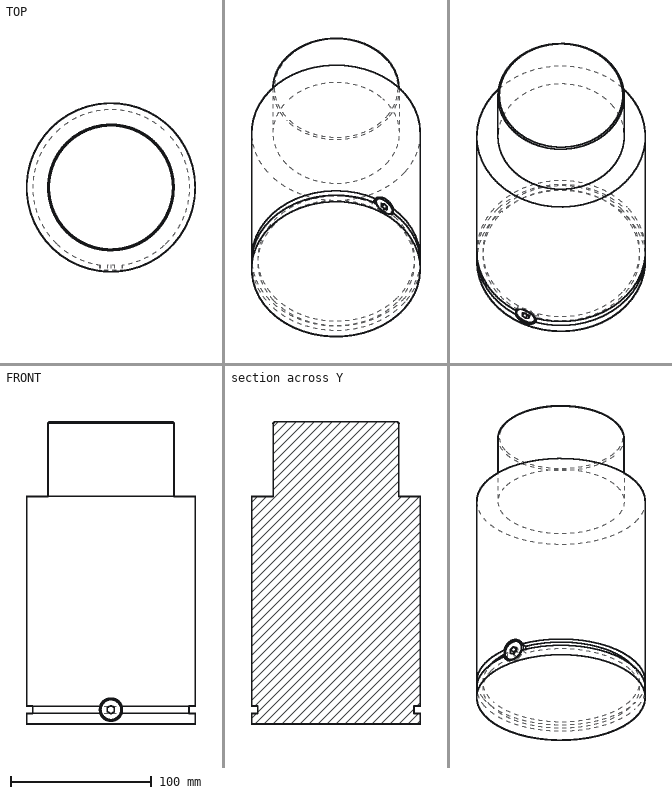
import cadquery as cq

total_height = 215.0
body_radius = 60.0
body_height = 162.0
rod_radius = 45.0
rod_chamfer = 1.0

groove_bottom = 7.7
groove_top = 13.0
groove_depth = 4.3

plug_height = (groove_bottom + groove_top) / 2
plug_radius = 8.2
plug_chamfer_depth = 0.6
plug_chamfer_width = 1.0
plug_recess = 0.9
plug_length = 8.5
socket_across_corners = 5.8
socket_depth = 4.3
plug_face_y = -(body_radius - plug_recess)


def side_plane(y):
    """Plane at the plug axis, facing outward along -Y."""
    return cq.Workplane("XZ", origin=(0, y, plug_height))


def make_cylinder_body():
    body = cq.Workplane("XY").circle(body_radius).extrude(body_height)
    groove = (
        cq.Workplane("XY", origin=(0, 0, groove_bottom))
        .circle(body_radius)
        .circle(body_radius - groove_depth)
        .extrude(groove_top - groove_bottom)
    )
    return body.cut(groove)


def make_rod():
    rod = cq.Workplane("XY").circle(rod_radius).extrude(total_height)
    return rod.faces(">Z").chamfer(rod_chamfer)


def make_plug():
    face_radius = plug_radius - plug_chamfer_width
    shank_y = plug_face_y + plug_chamfer_depth
    head = (
        side_plane(plug_face_y)
        .circle(face_radius)
        .workplane(offset=-plug_chamfer_depth)
        .circle(plug_radius)
        .loft()
    )
    shank = side_plane(shank_y).circle(plug_radius).extrude(plug_chamfer_depth - plug_length)
    plug = head.union(shank)
    socket = (
        side_plane(plug_face_y)
        .transformed(rotate=(0, 0, 90))
        .polygon(6, socket_across_corners)
        .extrude(-socket_depth)
    )
    return plug.cut(socket)


plug_hole = side_plane(-body_radius).circle(plug_radius).extrude(-(plug_recess + plug_length))

result = make_cylinder_body().union(make_rod()).cut(plug_hole).union(make_plug())